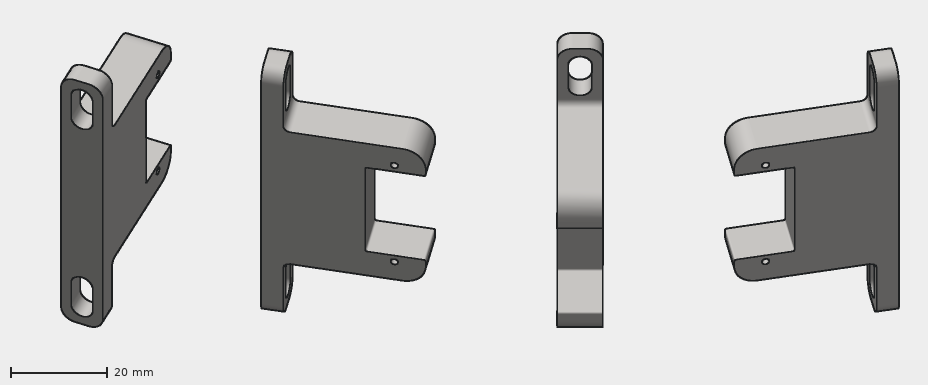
import cadquery as cq

width = 9.5
plate_height = 69.85
plate_thickness = 4.75
plate_corner_radius = 3.2

slot_width = 4.9
slot_length = 11.2
slot_end_margin = 2.3
slot_z = plate_height / 2 - slot_end_margin - slot_length / 2

depth = 34.9
body_height = 38.1
tip_radius = 4.9
root_radius = 1.55

gap_height = 24.2
gap_depth = 12.8
gap_edge_radius = 0.4

pin_diameter = 1.55
pin_z = 13.9
pin_tip_distance = 6.65
pin_y = depth - pin_tip_distance


def make_plate():
    plate = cq.Workplane("XY").box(width, plate_thickness, plate_height, centered=(True, False, True))
    return plate.edges("|Y").fillet(plate_corner_radius)


def make_body():
    body = cq.Workplane("XY").box(width, depth, body_height, centered=(True, False, True))
    body = body.edges("|X and >Y").fillet(tip_radius)
    gap = (
        cq.Workplane("XY")
        .box(width, gap_depth, gap_height, centered=(True, False, True))
        .translate((0, depth - gap_depth, 0))
    )
    return body.cut(gap)


def edges_at(y, z):
    """Select the pair of X-direction edges at depth y and heights z and -z."""
    half = 0.1
    upper = cq.selectors.BoxSelector((-half, y - half, z - half), (half, y + half, z + half))
    lower = cq.selectors.BoxSelector((-half, y - half, -z - half), (half, y + half, -z + half))
    return upper + lower


def round_edges(part):
    part = part.edges(edges_at(plate_thickness, body_height / 2)).fillet(root_radius)
    for y in (depth - gap_depth, depth):
        part = part.edges(edges_at(y, gap_height / 2)).fillet(gap_edge_radius)
    return part


def cut_mounting_slots(part):
    slots = (
        cq.Workplane("XZ")
        .pushPoints([(0, slot_z), (0, -slot_z)])
        .slot2D(slot_length, slot_width, 90)
        .extrude(-plate_thickness)
    )
    return part.cut(slots)


def drill_pin_holes(part):
    pins = (
        cq.Workplane("YZ")
        .pushPoints([(pin_y, pin_z), (pin_y, -pin_z)])
        .circle(pin_diameter / 2)
        .extrude(width / 2, both=True)
    )
    return part.cut(pins)


result = make_plate().union(make_body())
result = round_edges(result)
result = cut_mounting_slots(result)
result = drill_pin_holes(result)